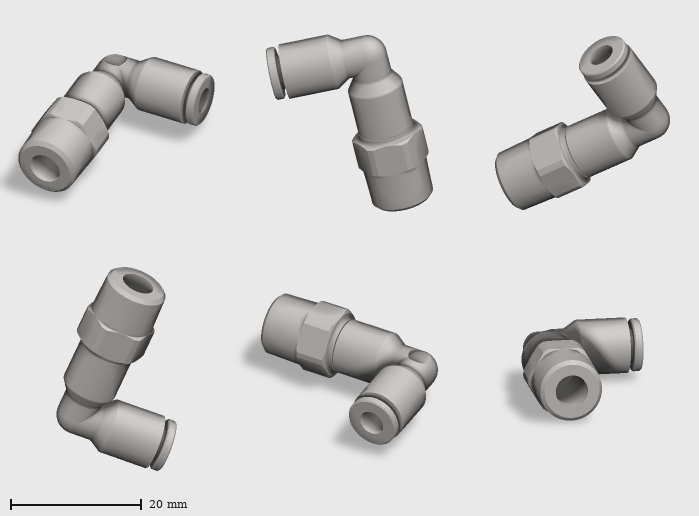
import cadquery as cq
import math


NECK_RADIUS = 3.0
HOUSING_RADIUS = 4.25
CONE_START = 3.42
CONE_END = 5.35
CONE_BLEND_RADIUS = 0.5
SELECTION_MARGIN = 0.1
BORE_RADIUS = 2.0

ARM_HOUSING_END = 13.0
RELEASE_GAP = 0.72
RELEASE_STEM_RADIUS = 2.6
RELEASE_RING_RADIUS = 4.05
RELEASE_RING_CHAMFER = 0.2
ARM_END = 15.02

STEM_HOUSING_END = 12.53
STEM_GROOVE_WIDTH = 0.2
STEM_GROOVE_RADIUS = 3.8
HEX_SIDES = 6
HEX_START = 13.5
HEX_LENGTH = 5.0
HEX_ACROSS_FLATS = 10.0
HEX_CORNER_RADIUS = 5.5
HEX_CHAMFER_ANGLE = 30.0
COLLAR_FILLET = 0.5
STEM_END = 25.0

THREAD_GAUGE_RADIUS = 9.728 / 2
THREAD_GAUGE_TO_END = 3.0
THREAD_SLOPE = 1 / 32
THREAD_CHAMFER = 0.58
STEM_BORE_RADIUS = 2.5

RECESS_RADIUS = 1.75
RECESS_CENTRE_Y = 0.25
RECESS_FLOOR_Z = 2.3

HEX_END = HEX_START + HEX_LENGTH
COLLAR_START = STEM_HOUSING_END + STEM_GROOVE_WIDTH


def cylinder(radius, start, end):
    """Cylinder along +X between two distances from the elbow centre."""
    return cq.Workplane("YZ").workplane(offset=start).circle(radius).extrude(end - start)


def revolve_about_x(profile):
    """Revolve a closed XY profile about the X axis."""
    return profile.close().revolve(360, (0, 0, 0), (1, 0, 0))


def to_stem(body):
    """Turn a body built along +X so that it runs along -Y."""
    return body.rotate((0, 0, 0), (0, 0, 1), -90)


def housing(end):
    """Neck, cone and housing cylinder, with both ends of the cone blended."""
    body = revolve_about_x(
        cq.Workplane("XY")
        .lineTo(0, NECK_RADIUS)
        .lineTo(CONE_START, NECK_RADIUS)
        .lineTo(CONE_END, HOUSING_RADIUS)
        .lineTo(end, HOUSING_RADIUS)
        .lineTo(end, 0)
    )
    cone_ends = cq.selectors.BoxSelector(
        (CONE_START - SELECTION_MARGIN, -SELECTION_MARGIN, -SELECTION_MARGIN),
        (CONE_END + SELECTION_MARGIN, SELECTION_MARGIN, SELECTION_MARGIN),
    )
    return body.edges("%CIRCLE").edges(cone_ends).fillet(CONE_BLEND_RADIUS)


def tube_arm():
    """Housing with the release ring at its open end."""
    ring_start = ARM_HOUSING_END + RELEASE_GAP
    ring = cylinder(RELEASE_RING_RADIUS, ring_start, ARM_END)
    ring = ring.edges("%CIRCLE").chamfer(RELEASE_RING_CHAMFER)
    ring_stem = cylinder(RELEASE_STEM_RADIUS, ARM_HOUSING_END, ring_start)
    return housing(ARM_HOUSING_END).union(ring_stem).union(ring)


def hexagon_nut():
    """Hexagon with flats facing +Z and -Z, rounded corners and chamfered ends."""
    flat_radius = HEX_ACROSS_FLATS / 2
    vertex_diameter = HEX_ACROSS_FLATS / math.cos(math.pi / HEX_SIDES)
    prism = (
        cq.Workplane("YZ")
        .workplane(offset=HEX_START)
        .polygon(HEX_SIDES, vertex_diameter)
        .extrude(HEX_LENGTH)
    )
    chamfer_length = (HEX_CORNER_RADIUS - flat_radius) * math.tan(math.radians(HEX_CHAMFER_ANGLE))
    envelope = revolve_about_x(
        cq.Workplane("XY")
        .moveTo(HEX_START, 0)
        .lineTo(HEX_START, flat_radius)
        .lineTo(HEX_START + chamfer_length, HEX_CORNER_RADIUS)
        .lineTo(HEX_END - chamfer_length, HEX_CORNER_RADIUS)
        .lineTo(HEX_END, flat_radius)
        .lineTo(HEX_END, 0)
    )
    return prism.intersect(envelope)


def collar():
    """Collar between the groove and the hexagon, flaring into the hexagon face."""
    flare_start = HEX_START - COLLAR_FILLET
    flare_radius = HOUSING_RADIUS + COLLAR_FILLET
    return revolve_about_x(
        cq.Workplane("XY")
        .moveTo(COLLAR_START, 0)
        .lineTo(COLLAR_START, HOUSING_RADIUS)
        .lineTo(flare_start, HOUSING_RADIUS)
        .radiusArc((HEX_START, flare_radius), -COLLAR_FILLET)
        .lineTo(HEX_START, 0)
    )


def thread_radius(position):
    """Radius of the taper thread envelope at a distance from the elbow centre."""
    gauge_position = STEM_END - THREAD_GAUGE_TO_END
    return THREAD_GAUGE_RADIUS + (gauge_position - position) * THREAD_SLOPE


def thread():
    """Taper thread envelope with a 45 degree chamfer at its end."""
    chamfer_start = STEM_END - THREAD_CHAMFER
    chamfer_radius = thread_radius(chamfer_start)
    return revolve_about_x(
        cq.Workplane("XY")
        .moveTo(HEX_END, 0)
        .lineTo(HEX_END, thread_radius(HEX_END))
        .lineTo(chamfer_start, chamfer_radius)
        .lineTo(STEM_END, chamfer_radius - THREAD_CHAMFER)
        .lineTo(STEM_END, 0)
    )


def threaded_stem():
    """Housing, groove, collar, hexagon and thread."""
    groove_core = cylinder(STEM_GROOVE_RADIUS, STEM_HOUSING_END, COLLAR_START)
    body = housing(STEM_HOUSING_END)
    for section in (groove_core, collar(), hexagon_nut(), thread()):
        body = body.union(section, clean=False)
    return to_stem(body)


def flow_passage():
    """Bore through both legs with a round corner, wider inside the threaded end."""
    arm_bore = cylinder(BORE_RADIUS, 0, ARM_END)
    stem_bore = to_stem(cylinder(BORE_RADIUS, 0, STEM_END))
    wide_bore = to_stem(cylinder(STEM_BORE_RADIUS, COLLAR_START, STEM_END))
    corner = cq.Workplane("XY").sphere(BORE_RADIUS)
    return arm_bore.union(stem_bore).union(wide_bore).union(corner)


def top_recess():
    """Flat-bottomed round recess on the +Z side of the elbow."""
    return (
        cq.Workplane("XY")
        .workplane(offset=RECESS_FLOOR_Z)
        .center(0, RECESS_CENTRE_Y)
        .circle(RECESS_RADIUS)
        .extrude(NECK_RADIUS - RECESS_FLOOR_Z)
    )


elbow_corner = cq.Workplane("XY").sphere(NECK_RADIUS)
outer_body = tube_arm().union(threaded_stem(), clean=False).union(elbow_corner, clean=False)
result = outer_body.cut(flow_passage(), clean=False).cut(top_recess(), clean=False)